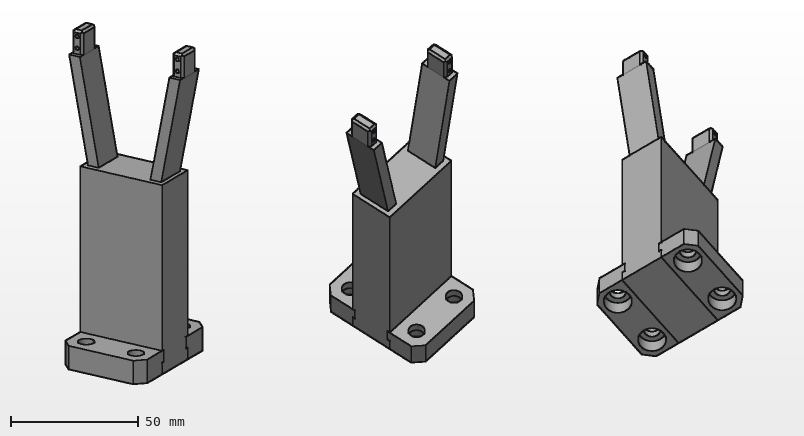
import cadquery as cq

body_width = 38.0
body_depth = 19.0
body_height = 80.0
groove_depth = 1.25
groove_bottom = 5.0

plate_height = 10.0
base_depth = 49.0
corner_chamfer = 4.0
bolt_diameter = 6.5
counterbore_diameter = 11.0
counterbore_depth = 6.5
bolt_spacing_x = 23.0
bolt_spacing_y = 34.0

finger_span = 51.5
finger_thickness = 5.0
finger_depth = 14.0
finger_height = 45.0
finger_lean = 8.75

tip_depth = 10.0
tip_height = 10.0
tip_chamfer = 1.0
pin_hole_diameter = 1.5
pin_hole_spacing = 5.0

finger_top = body_height + finger_height
groove_height = plate_height - groove_bottom


def block(x_min, x_max, y_min, y_max, z_min, height):
    """Box between the given X and Y limits, rising from z_min."""
    return (
        cq.Workplane("XY", origin=((x_min + x_max) / 2, (y_min + y_max) / 2, z_min))
        .box(x_max - x_min, y_max - y_min, height, centered=(True, True, False))
    )


def make_tip():
    """Tip on top of the right finger, chamfered on its upright and top edges, with two pin holes along Y."""
    tip_center_x = (finger_span - finger_thickness) / 2
    tip = (
        cq.Workplane("XY", origin=(tip_center_x, 0, finger_top))
        .box(finger_thickness, tip_depth, tip_height, centered=(True, True, False))
        .faces(">Z")
        .chamfer(tip_chamfer)
        .edges("|Z")
        .chamfer(tip_chamfer)
    )
    pin_holes = (
        cq.Workplane("XZ", origin=(tip_center_x, 0, finger_top + tip_height / 2))
        .rarray(1, pin_hole_spacing, 1, 2)
        .circle(pin_hole_diameter / 2)
        .extrude(tip_depth, both=True)
    )
    return tip.cut(pin_holes)


def make_finger():
    """Right finger: a leaning bar that carries the tip."""
    outer_top = finger_span / 2
    inner_top = outer_top - finger_thickness
    bar = (
        cq.Workplane("XZ")
        .moveTo(inner_top - finger_lean, body_height)
        .lineTo(outer_top - finger_lean, body_height)
        .lineTo(outer_top, finger_top)
        .lineTo(inner_top, finger_top)
        .close()
        .extrude(finger_depth / 2, both=True)
    )
    return bar.union(make_tip())


def make_gripper():
    """Body with a clamping groove along each long side and two mirrored fingers on top."""
    half_width = body_width / 2
    half_depth = body_depth / 2
    body = block(-half_width, half_width, -half_depth, half_depth, 0, body_height)
    groove = block(
        -half_width, half_width, half_depth - groove_depth, half_depth, groove_bottom, groove_height
    )
    finger = make_finger()
    return body.cut(groove).cut(groove.mirror("XZ")).union(finger).union(finger.mirror("YZ"))


def make_clamp_plate():
    """Plate on the +Y side, with a tongue that fills the body's groove and cut outer corners.

    Its two bolt holes are counterbored from below.
    """
    half_width = body_width / 2
    inner_y = body_depth / 2
    plate = (
        block(-half_width, half_width, inner_y, base_depth / 2, 0, plate_height)
        .edges("|Z and >Y")
        .chamfer(corner_chamfer)
    )
    tongue = block(
        -half_width, half_width, inner_y - groove_depth, inner_y, groove_bottom, groove_height
    )
    bolt_centers = cq.Workplane("XY", origin=(0, bolt_spacing_y / 2, 0)).rarray(bolt_spacing_x, 1, 2, 1)
    bolt_holes = bolt_centers.circle(bolt_diameter / 2).extrude(plate_height)
    counterbores = bolt_centers.circle(counterbore_diameter / 2).extrude(counterbore_depth)
    return plate.union(tongue).cut(bolt_holes).cut(counterbores)


gripper = make_gripper()

clamp_plates = []
for turn in (0, 180):
    clamp_plates.append(make_clamp_plate().rotate((0, 0, 0), (0, 0, 1), turn))

result = cq.Compound.makeCompound([body.solids().val() for body in (gripper, *clamp_plates)])